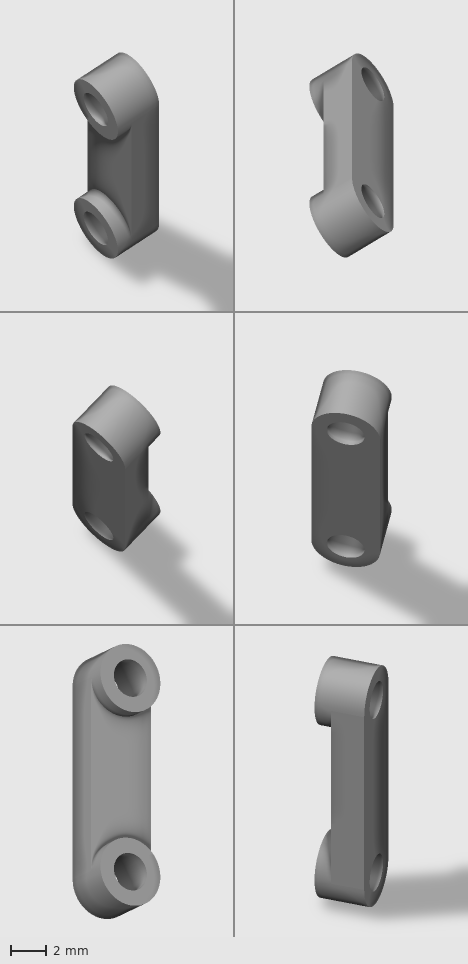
import cadquery as cq

total_length = 15.49
width = 4.0
boss_depth = 3.0
bar_depth = 2.0
hole_diameter = 2.2

hole_pitch = total_length - width
boss_centres = [(0, -hole_pitch / 2), (0, hole_pitch / 2)]

back_face = cq.Workplane("XZ", origin=(0, boss_depth / 2, 0))

bar = back_face.rect(width, hole_pitch).extrude(bar_depth)

bosses = back_face.pushPoints(boss_centres).circle(width / 2).extrude(boss_depth)

holes = back_face.pushPoints(boss_centres).circle(hole_diameter / 2).extrude(boss_depth)

result = bar.union(bosses).cut(holes)